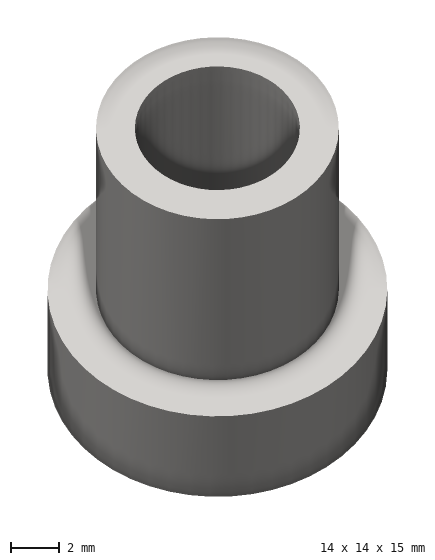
import cadquery as cq

total_height = 15.0
flange_height = total_height / 3
flange_diameter = 14.0
sleeve_diameter = 2 * flange_height
sleeve_height = total_height - flange_height
bore_diameter = 6.8

flange = cq.Workplane("XY").circle(flange_diameter / 2).extrude(flange_height)

bushing = flange.faces(">Z").workplane().circle(sleeve_diameter / 2).extrude(sleeve_height)

result = bushing.faces(">Z").workplane().hole(bore_diameter)